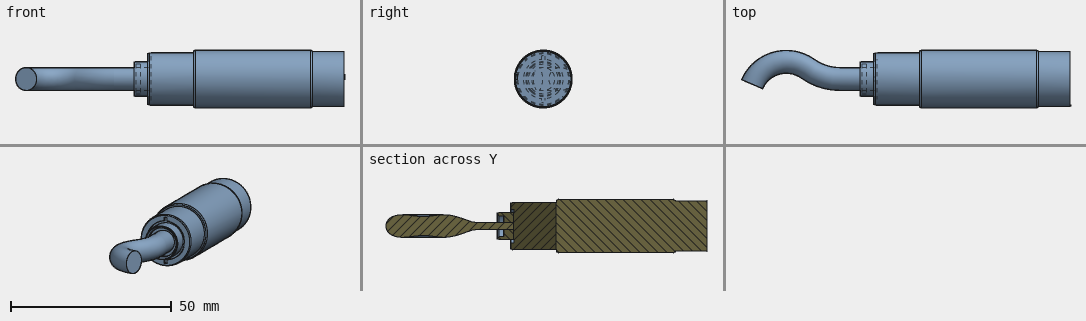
import cadquery as cq
import math


CABLE_RADIUS = 3.6
CABLE_BEND_START_X = 30.6
FIRST_BEND_RADIUS = 17.2
FIRST_BEND_ANGLE = 35.5
SECOND_BEND_RADIUS = 11.6
SECOND_BEND_ANGLE = 102.1

GLAND_START_X = 36.8
GLAND_RADIUS = 5.4
GLAND_TAPER_LENGTH = 0.6
GLAND_TAPER_DEPTH = 0.1
GLAND_MOUTH_RADIUS = 5.1
GLAND_RECESS_RADIUS = 4.6
GLAND_RECESS_DEPTH = 2

CAP_START_X = 41.0
CAP_RADIUS = 8.2
CAP_FACE_RADIUS = 7.9
CAP_CHAMFER_LENGTH = 0.6
CAP_RIM_LENGTH = 0.9
CAP_RIM_DROP = 0.05
CAP_RECESS_RADIUS = 6.1
CAP_RECESS_DEPTH = 1
SLOT_WIDTH = 1.1
SLOT_TIP_RADIUS = 7.4

HOUSING_START_X = 55.2
HOUSING_RADIUS = 9.0
HOUSING_CHAMFER_LENGTH = 0.6
HOUSING_CHAMFER_DEPTH = 0.3
SHOULDER_X = 92.2
SENSING_END_RADIUS = 8.6
SENSING_END_X = 102.0

KEY_END_X = 102.3
KEY_WIDTH = 1.6
KEY_THICKNESS = 0.4
KEY_Y = -8.2
KEY_Z = 0.6

GLAND_END_X = CAP_START_X + CAP_RECESS_DEPTH


def revolve_profile(points):
    """Revolve an outline of (axial, radial) points about the X axis."""
    return cq.Workplane("XY").polyline(points).close().revolve(360, (0, 0, 0), (1, 0, 0))


def bend_point(start, heading, radius, turn):
    """Point reached after turning along an arc; heading is measured from -X towards +Y."""
    side = math.copysign(radius, turn)
    begin = math.radians(heading)
    end = math.radians(heading + turn)
    return (
        start[0] - side * (math.sin(end) - math.sin(begin)),
        start[1] + side * (math.cos(begin) - math.cos(end)),
    )


def make_cable():
    bend_start = (CABLE_BEND_START_X, 0)
    first_mid = bend_point(bend_start, 0, FIRST_BEND_RADIUS, FIRST_BEND_ANGLE / 2)
    first_end = bend_point(bend_start, 0, FIRST_BEND_RADIUS, FIRST_BEND_ANGLE)
    second_mid = bend_point(first_end, FIRST_BEND_ANGLE, SECOND_BEND_RADIUS, -SECOND_BEND_ANGLE / 2)
    second_end = bend_point(first_end, FIRST_BEND_ANGLE, SECOND_BEND_RADIUS, -SECOND_BEND_ANGLE)
    path = (
        cq.Workplane("XY")
        .moveTo(GLAND_END_X, 0)
        .lineTo(*bend_start)
        .threePointArc(first_mid, first_end)
        .threePointArc(second_mid, second_end)
    )
    return cq.Workplane("YZ", origin=(GLAND_END_X, 0, 0)).circle(CABLE_RADIUS).sweep(path)


def make_gland():
    recess_end_x = GLAND_START_X + GLAND_RECESS_DEPTH
    taper_end_x = GLAND_START_X + GLAND_TAPER_LENGTH
    mouth_end_x = GLAND_START_X + GLAND_MOUTH_RADIUS - GLAND_RECESS_RADIUS
    return revolve_profile([
        (GLAND_START_X, GLAND_MOUTH_RADIUS),
        (GLAND_START_X, GLAND_RADIUS - GLAND_TAPER_DEPTH),
        (taper_end_x, GLAND_RADIUS),
        (GLAND_END_X, GLAND_RADIUS),
        (GLAND_END_X, CABLE_RADIUS),
        (recess_end_x, CABLE_RADIUS),
        (recess_end_x, GLAND_RECESS_RADIUS),
        (mouth_end_x, GLAND_RECESS_RADIUS),
    ])


def make_cap():
    chamfer_end_x = CAP_START_X + CAP_CHAMFER_LENGTH
    rim_end_x = chamfer_end_x + CAP_RIM_LENGTH
    cap = revolve_profile([
        (CAP_START_X, 0),
        (CAP_START_X, CAP_FACE_RADIUS),
        (chamfer_end_x, CAP_RADIUS - CAP_RIM_DROP),
        (rim_end_x, CAP_RADIUS),
        (HOUSING_START_X, CAP_RADIUS),
        (HOUSING_START_X, 0),
    ])
    face = cq.Workplane("YZ", origin=(CAP_START_X, 0, 0))
    recess = face.circle(CAP_RECESS_RADIUS).extrude(CAP_RECESS_DEPTH)
    slots = face.slot2D(2 * SLOT_TIP_RADIUS, SLOT_WIDTH, 90).extrude(CAP_RECESS_DEPTH)
    return cap.cut(recess).cut(slots)


def make_housing():
    chamfer_radius = HOUSING_RADIUS - HOUSING_CHAMFER_DEPTH
    housing = revolve_profile([
        (HOUSING_START_X, 0),
        (HOUSING_START_X, chamfer_radius),
        (HOUSING_START_X + HOUSING_CHAMFER_LENGTH, HOUSING_RADIUS),
        (SHOULDER_X - HOUSING_CHAMFER_LENGTH, HOUSING_RADIUS),
        (SHOULDER_X, chamfer_radius),
        (SHOULDER_X, SENSING_END_RADIUS),
        (SENSING_END_X, SENSING_END_RADIUS),
        (SENSING_END_X, 0),
    ])
    key = (
        cq.Workplane("YZ", origin=(SENSING_END_X, KEY_Y, KEY_Z))
        .rect(KEY_THICKNESS, KEY_WIDTH)
        .extrude(KEY_END_X - SENSING_END_X)
    )
    return housing.union(key)


cable = make_cable()
gland = make_gland()
cap = make_cap()
housing = make_housing()

result = cq.Compound.makeCompound([cable.val(), gland.val(), cap.val(), housing.val()])